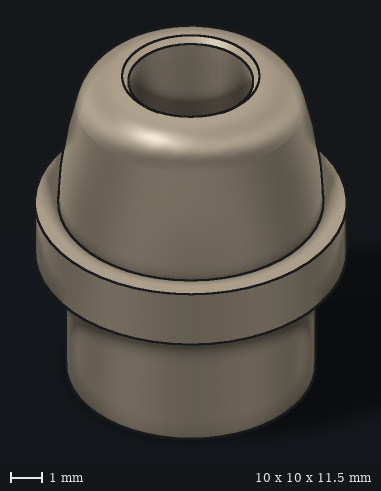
import cadquery as cq

total_height = 11.5
spigot_height = 4.5
flange_height = 2.0
nose_rim_drop = 1.1
flange_top = spigot_height + flange_height
nose_rim_z = total_height - nose_rim_drop

flange_diameter = 10.0
spigot_diameter = 8.0
bore_diameter = 4.0
nose_base_diameter = 8.51
nose_middle_diameter = 8.19
nose_rim_diameter = 7.38
mouth_diameter = 4.4

nose_middle_z = (flange_top + nose_rim_z) / 2
crown_radius = 1.5
mouth_depth = (mouth_diameter - bore_diameter) / 2

spigot = cq.Workplane("XY").circle(spigot_diameter / 2).extrude(spigot_height)
flange = (
    cq.Workplane("XY", origin=(0, 0, spigot_height))
    .circle(flange_diameter / 2)
    .extrude(flange_height)
)

crown_flat_radius = nose_rim_diameter / 2 - (
    crown_radius**2 - (crown_radius - nose_rim_drop) ** 2
) ** 0.5
nose = (
    cq.Workplane("XZ")
    .moveTo(0, flange_top)
    .lineTo(nose_base_diameter / 2, flange_top)
    .threePointArc(
        (nose_middle_diameter / 2, nose_middle_z),
        (nose_rim_diameter / 2, nose_rim_z),
    )
    .radiusArc((crown_flat_radius, total_height), -crown_radius)
    .lineTo(0, total_height)
    .close()
    .revolve(360, (0, 0, 0), (0, 1, 0))
)

bore = cq.Workplane("XY").circle(bore_diameter / 2).extrude(total_height)
mouth = (
    cq.Workplane("XY", origin=(0, 0, total_height - mouth_depth))
    .circle(bore_diameter / 2)
    .workplane(offset=mouth_depth)
    .circle(mouth_diameter / 2)
    .loft(ruled=True)
)

result = spigot.union(flange).union(nose).cut(bore).cut(mouth)